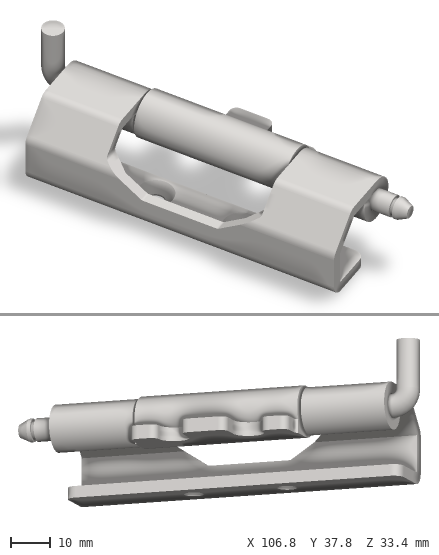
import cadquery as cq
import math


PIN_RADIUS = 3.0
PIN_BEND_RADIUS = 4.0
PIN_HANDLE_X = -49.1
PIN_HANDLE_TOP = 16.6
PIN_TIP_X = 54.7
TIP_RADIUS = 1.7
TIP_CONE_LENGTH = 2.7
TIP_COLLAR_LENGTH = 1.0
GROOVE_WIDTH = 1.0
GROOVE_RADIUS = 2.3

BORE_RADIUS = 3.1

BRACKET_LENGTH = 89.7
SHEET = 3.0
ROLL_RADIUS = BORE_RADIUS + SHEET
ROLL_END_ANGLE = 28.0
ROLL_CORNER_RADIUS = 1.4
FRONT_Y = -21.5
BOTTOM_Z = -16.8
FLANGE_BACK_Y = -5.9
SLOPE_TOP_Y = -11.2
UPPER_BEND_RADIUS = SHEET
LOWER_BEND_INNER_RADIUS = 0.5
LOWER_BEND_RADIUS = LOWER_BEND_INNER_RADIUS + SHEET
FLANGE_CORNER_RADIUS = 2.7

WINDOW_WIDTH = 45.1
WINDOW_SILL_WIDTH = 22.0
WINDOW_SILL_Z = -8.3
WINDOW_SHOULDER_Z = -0.9
WINDOW_CORNER_RADIUS = 1.1

HOLE_SPACING = 25.0
HOLE_Y = -12.0
HOLE_DIAMETER = 5.0
SINK_DIAMETER = 10.0
SINK_ANGLE = 90.0

LEAF_THICKNESS = 3.5
KNUCKLE_RADIUS = BORE_RADIUS + LEAF_THICKNESS
KNUCKLE_LENGTH = 43.6
PLATE_WIDTH = 42.2
CENTRE_TAB_WIDTH = 12.1
CENTRE_TAB_Y = 16.3
SIDE_TAB_Y = 12.4
SHOULDER_Y = 7.2
SHOULDER_RADIUS = 1.0
SLOT_WIDTH = 7.9
SLOT_BOTTOM_Y = 6.3
TAB_CORNER_RADIUS = 2.0


def make_pin():
    """Straight pin with a grooved, tapered tip and a handle bent upwards."""
    bend_end_x = PIN_HANDLE_X + PIN_BEND_RADIUS
    cone_x = PIN_TIP_X - TIP_CONE_LENGTH
    collar_x = cone_x - TIP_COLLAR_LENGTH
    groove_x = collar_x - GROOVE_WIDTH
    shaft = (
        cq.Workplane("XY")
        .moveTo(bend_end_x, 0)
        .lineTo(bend_end_x, PIN_RADIUS)
        .lineTo(groove_x, PIN_RADIUS)
        .lineTo(groove_x, GROOVE_RADIUS)
        .lineTo(collar_x, GROOVE_RADIUS)
        .lineTo(collar_x, PIN_RADIUS)
        .lineTo(cone_x, PIN_RADIUS)
        .lineTo(PIN_TIP_X, TIP_RADIUS)
        .lineTo(PIN_TIP_X, 0)
        .close()
        .revolve(360, (0, 0, 0), (1, 0, 0))
    )
    handle_path = (
        cq.Workplane("XZ")
        .moveTo(PIN_HANDLE_X, PIN_HANDLE_TOP)
        .lineTo(PIN_HANDLE_X, PIN_BEND_RADIUS)
        .radiusArc((bend_end_x, 0), -PIN_BEND_RADIUS)
    )
    handle = (
        cq.Workplane("XY", origin=(PIN_HANDLE_X, 0, PIN_HANDLE_TOP))
        .circle(PIN_RADIUS)
        .sweep(handle_path)
    )
    return shaft.union(handle)


def make_bent_sheet():
    """Constant bracket section: roll, top, 45 degree slope, front wall and flange."""
    end_y = -math.cos(math.radians(ROLL_END_ANGLE))
    end_z = math.sin(math.radians(ROLL_END_ANGLE))
    inner_front_y = FRONT_Y + SHEET
    inner_bottom_z = BOTTOM_Z + SHEET
    slope_bottom_z = BORE_RADIUS - (SLOPE_TOP_Y - inner_front_y)
    corner_shift = SHEET * math.tan(math.radians(22.5))
    slope_top = (SLOPE_TOP_Y - corner_shift, ROLL_RADIUS)
    slope_bottom = (FRONT_Y, slope_bottom_z + corner_shift)
    lower_corner = (FRONT_Y, BOTTOM_Z)
    inner_lower_corner = (inner_front_y, inner_bottom_z)

    sheet = (
        cq.Workplane("YZ", origin=(-BRACKET_LENGTH / 2, 0, 0))
        .moveTo(ROLL_RADIUS * end_y, ROLL_RADIUS * end_z)
        .threePointArc((ROLL_RADIUS, 0), (0, ROLL_RADIUS))
        .lineTo(*slope_top)
        .lineTo(*slope_bottom)
        .lineTo(*lower_corner)
        .lineTo(FLANGE_BACK_Y, BOTTOM_Z)
        .lineTo(FLANGE_BACK_Y, inner_bottom_z)
        .lineTo(*inner_lower_corner)
        .lineTo(inner_front_y, slope_bottom_z)
        .lineTo(SLOPE_TOP_Y, BORE_RADIUS)
        .lineTo(0, BORE_RADIUS)
        .threePointArc((BORE_RADIUS, 0), (BORE_RADIUS * end_y, BORE_RADIUS * end_z))
        .close()
        .extrude(BRACKET_LENGTH)
    )
    bends = [
        (slope_top, UPPER_BEND_RADIUS),
        (slope_bottom, UPPER_BEND_RADIUS),
        (lower_corner, LOWER_BEND_RADIUS),
        (inner_lower_corner, LOWER_BEND_INNER_RADIUS),
    ]
    for corner, radius in bends:
        sheet = sheet.edges(cq.NearestToPointSelector((0, *corner))).fillet(radius)

    roll_middle = BORE_RADIUS + SHEET / 2
    for x in (-BRACKET_LENGTH / 2, BRACKET_LENGTH / 2):
        flange_corner = (x, FLANGE_BACK_Y, BOTTOM_Z + SHEET / 2)
        roll_corner = (x, roll_middle * end_y, roll_middle * end_z)
        sheet = sheet.edges(cq.NearestToPointSelector(flange_corner)).fillet(FLANGE_CORNER_RADIUS)
        sheet = sheet.edges(cq.NearestToPointSelector(roll_corner)).fillet(ROLL_CORNER_RADIUS)
    return sheet


def make_window_cutter():
    """Prism along Y that removes the roll beside the knuckle and narrows to a sill in the front wall."""
    above_bracket = ROLL_RADIUS + SHEET
    half_width = WINDOW_WIDTH / 2
    half_sill = WINDOW_SILL_WIDTH / 2
    front_part = (
        cq.Workplane("XZ", origin=(0, -ROLL_RADIUS, 0))
        .moveTo(-half_width, above_bracket)
        .lineTo(-half_width, WINDOW_SHOULDER_Z)
        .lineTo(-half_sill, WINDOW_SILL_Z)
        .lineTo(half_sill, WINDOW_SILL_Z)
        .lineTo(half_width, WINDOW_SHOULDER_Z)
        .lineTo(half_width, above_bracket)
        .close()
        .extrude(-FRONT_Y)
        .edges("|Y and (not >Z)")
        .fillet(WINDOW_CORNER_RADIUS)
    )
    roll_part = cq.Workplane("XY").box(WINDOW_WIDTH, 2 * above_bracket, 2 * above_bracket)
    return front_part.union(roll_part)


def make_bracket():
    """Bent sheet with the knuckle window and two countersunk flange holes."""
    flange_top = cq.Workplane("XY", origin=(0, HOLE_Y, BOTTOM_Z + SHEET))
    bracket = make_bent_sheet().cut(make_window_cutter())
    sink_depth = (SINK_DIAMETER - HOLE_DIAMETER) / 2 / math.tan(math.radians(SINK_ANGLE / 2))
    for x in (-HOLE_SPACING / 2, HOLE_SPACING / 2):
        hole = flange_top.center(x, 0).circle(HOLE_DIAMETER / 2).extrude(-SHEET)
        sink = flange_top.center(x, 0).circle(SINK_DIAMETER / 2).extrude(-sink_depth, taper=SINK_ANGLE / 2)
        bracket = bracket.cut(hole).cut(sink)
    return bracket


def make_tab(width, back_y, centre_x=0):
    """Flat tab level with the knuckle's underside, reaching back_y, with rounded back corners."""
    return (
        cq.Workplane("XY", origin=(centre_x, back_y / 2, -KNUCKLE_RADIUS))
        .box(width, back_y, LEAF_THICKNESS, centered=(True, True, False))
        .edges("|Z and >Y")
        .fillet(TAB_CORNER_RADIUS)
    )


def make_web(back_y):
    """Flat web that joins the tabs and flares out through hollow arcs to the knuckle's length."""
    half_plate = PLATE_WIDTH / 2
    half_knuckle = KNUCKLE_LENGTH / 2
    flare = half_knuckle - half_plate
    flare_y = SHOULDER_Y - math.sqrt(SHOULDER_RADIUS**2 - (SHOULDER_RADIUS - flare) ** 2)
    return (
        cq.Workplane("XY", origin=(0, 0, -KNUCKLE_RADIUS))
        .moveTo(-half_knuckle, 0)
        .lineTo(-half_knuckle, flare_y)
        .radiusArc((-half_plate, SHOULDER_Y), -SHOULDER_RADIUS)
        .lineTo(-half_plate, back_y)
        .lineTo(half_plate, back_y)
        .lineTo(half_plate, SHOULDER_Y)
        .radiusArc((half_knuckle, flare_y), -SHOULDER_RADIUS)
        .lineTo(half_knuckle, 0)
        .close()
        .extrude(LEAF_THICKNESS)
    )


def make_leaf():
    """Knuckle around the pin with a plate along its underside, slotted into three tabs."""
    knuckle = (
        cq.Workplane("YZ", origin=(-KNUCKLE_LENGTH / 2, 0, 0))
        .circle(KNUCKLE_RADIUS)
        .extrude(KNUCKLE_LENGTH)
    )
    bore = (
        cq.Workplane("YZ", origin=(-KNUCKLE_LENGTH / 2, 0, 0))
        .circle(BORE_RADIUS)
        .extrude(KNUCKLE_LENGTH)
    )
    slot_radius = SLOT_WIDTH / 2
    slot_x = CENTRE_TAB_WIDTH / 2 + slot_radius
    slot_centre_y = SLOT_BOTTOM_Y + slot_radius
    side_tab_width = PLATE_WIDTH / 2 - slot_x - slot_radius
    side_tab_x = (PLATE_WIDTH - side_tab_width) / 2

    slot_ends = (
        cq.Workplane("XY", origin=(0, slot_centre_y, -KNUCKLE_RADIUS))
        .pushPoints([(-slot_x, 0), (slot_x, 0)])
        .circle(slot_radius)
        .extrude(LEAF_THICKNESS)
    )
    plate = make_web(slot_centre_y).cut(slot_ends).union(make_tab(CENTRE_TAB_WIDTH, CENTRE_TAB_Y))
    for x in (-side_tab_x, side_tab_x):
        plate = plate.union(make_tab(side_tab_width, SIDE_TAB_Y, x))
    return knuckle.union(plate).cut(bore)


pin = make_pin()
bracket = make_bracket()
leaf = make_leaf()

result = cq.Compound.makeCompound([pin.val(), bracket.val(), leaf.val()])